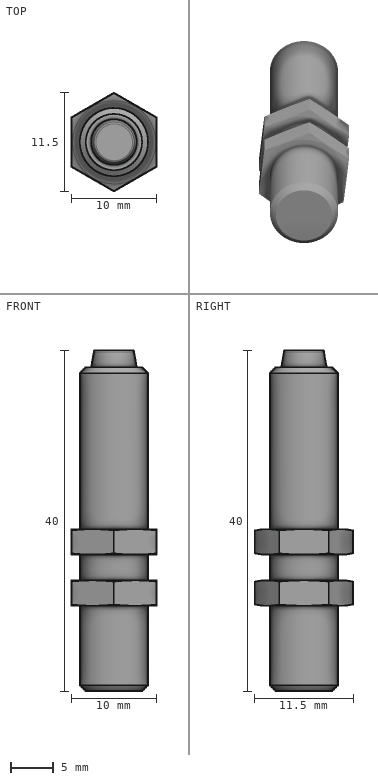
import cadquery as cq
import math

barrel_radius = 4.0
barrel_length = 38.0
barrel_chamfer = 0.7

total_length = 40.0
tip_base_radius = 2.7
tip_top_radius = 2.35
tip_edge_round = 0.2

nut_across_flats = 10.0
nut_height = 3.0
nut_bottoms = (10.0, 16.0)
nut_face_radius = 4.9
nut_corner_drop = 0.15
nut_corner_radius = nut_across_flats / math.sqrt(3)


def make_plunger_body():
    """Revolve the barrel and its tip as one solid."""
    end_radius = barrel_radius - barrel_chamfer
    tip_edge_height = total_length - tip_edge_round
    return (
        cq.Workplane("XZ")
        .lineTo(end_radius, 0)
        .lineTo(barrel_radius, barrel_chamfer)
        .lineTo(barrel_radius, barrel_length - barrel_chamfer)
        .lineTo(end_radius, barrel_length)
        .lineTo(tip_base_radius, barrel_length)
        .lineTo(tip_top_radius, tip_edge_height)
        .radiusArc((tip_top_radius - tip_edge_round, total_length), -tip_edge_round)
        .lineTo(0, total_length)
        .close()
        .revolve(360, (0, 0, 0), (0, 1, 0))
    )


def make_nut(bottom):
    """Hexagonal nut with conically chamfered corners, bored to fit the barrel."""
    hexagon = (
        cq.Workplane("XY")
        .polygon(6, 2 * nut_corner_radius)
        .extrude(nut_height)
        .rotate((0, 0, 0), (0, 0, 1), 30)
    )
    corner_envelope = (
        cq.Workplane("XZ")
        .moveTo(barrel_radius, 0)
        .lineTo(nut_face_radius, 0)
        .lineTo(nut_corner_radius, nut_corner_drop)
        .lineTo(nut_corner_radius, nut_height - nut_corner_drop)
        .lineTo(nut_face_radius, nut_height)
        .lineTo(barrel_radius, nut_height)
        .close()
        .revolve(360, (0, 0, 0), (0, 1, 0))
    )
    return hexagon.intersect(corner_envelope).translate((0, 0, bottom))


plunger_body = make_plunger_body()
nuts = [make_nut(bottom) for bottom in nut_bottoms]

result = cq.Compound.makeCompound([plunger_body.val(), *[nut.val() for nut in nuts]])